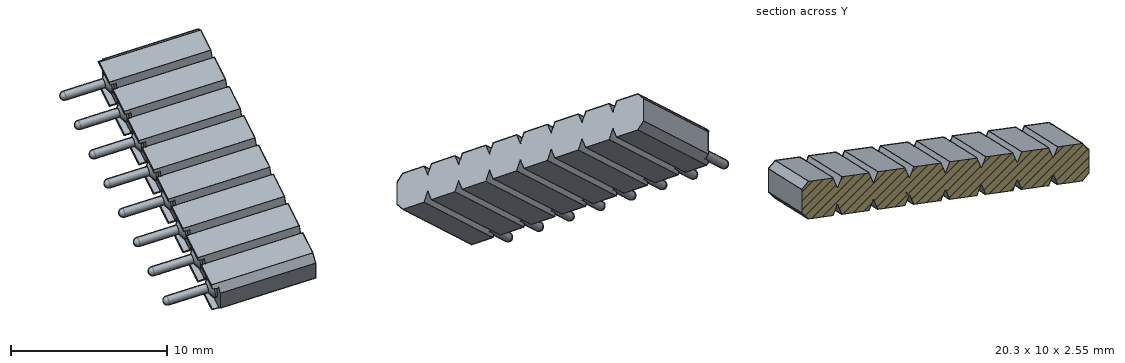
import cadquery as cq

pin_count = 8
length = 20.32
total_depth = 10.0
height = 2.55
pitch = length / pin_count

housing_depth = 7.0
corner_chamfer = 0.49
notch_half_width = 0.3
notch_depth = 0.7

recess_depth = 0.43
lip_root_thickness = 0.25
lip_tip_thickness = 0.2

collar_radius = 0.75
collar_length = 0.15
pin_radius = 0.3

back_y = total_depth / 2
tip_y = -total_depth / 2
lip_y = back_y - housing_depth
floor_y = lip_y + recess_depth


def housing_block():
    """Bar along Y with its four long corner edges chamfered."""
    return (
        cq.Workplane("XY")
        .box(length, housing_depth, height)
        .edges("|Y")
        .chamfer(corner_chamfer)
        .translate((0, back_y - housing_depth / 2, 0))
    )


def notch_pair(x):
    """Facing V-grooves in the top and bottom at a break line between two pins."""
    upper = (
        cq.Workplane("XZ", origin=(x, back_y, 0))
        .moveTo(-notch_half_width, height / 2)
        .lineTo(0, height / 2 - notch_depth)
        .lineTo(notch_half_width, height / 2)
        .close()
        .extrude(housing_depth)
    )
    return upper.union(upper.mirror("XY"))


def recess():
    """Trough along X that widens slightly from its floor to its mouth."""
    floor_half = height / 2 - lip_root_thickness
    mouth_half = height / 2 - lip_tip_thickness
    return (
        cq.Workplane("YZ", origin=(-length / 2, 0, 0))
        .moveTo(floor_y, -floor_half)
        .lineTo(floor_y, floor_half)
        .lineTo(lip_y, mouth_half)
        .lineTo(lip_y, -mouth_half)
        .close()
        .extrude(length)
    )


def pin(x):
    """Round pin with a collar, a conical shoulder and a hemispherical tip."""
    collar_y = floor_y - collar_length
    tip_start_y = tip_y + pin_radius
    half_profile = (
        cq.Workplane("XY")
        .moveTo(0, floor_y)
        .lineTo(collar_radius, floor_y)
        .lineTo(collar_radius, collar_y)
        .lineTo(pin_radius, lip_y)
        .lineTo(pin_radius, tip_start_y)
        .radiusArc((0, tip_y), pin_radius)
        .close()
    )
    return half_profile.revolve(360, (0, 0, 0), (0, 1, 0)).translate((x, 0, 0))


result = housing_block().cut(recess())

for i in range(1, pin_count):
    result = result.cut(notch_pair(i * pitch - length / 2))

for i in range(pin_count):
    result = result.union(pin((i + 0.5) * pitch - length / 2))